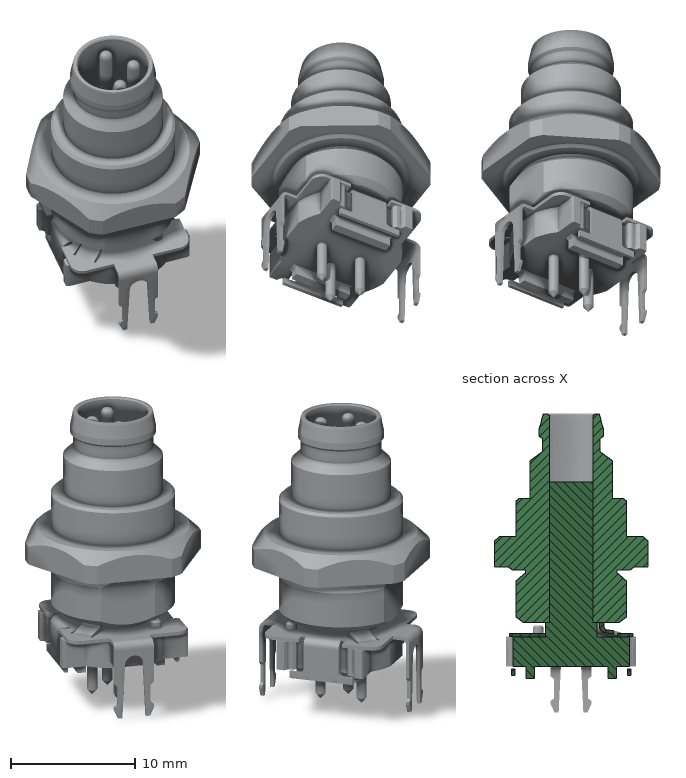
import cadquery as cq
import math


total_height = 24.15
housing_bottom = 7.4
plate_top = 6.55
sheet = 0.3
plate_bottom = plate_top - sheet
block_bottom = 3.86

cut_margin = 0.25
pick_margin = 0.02

bore_radius = 2.85
rim_chamfer = 0.1
rim_radius = 3.19
cone_top_radius = 3.24
cone_top = 24.0
collar_radius = 3.45
collar_top = 22.9
collar_bottom = 22.36
groove_radius = 3.24
groove_top = 22.17
groove_bottom = 21.13
nose_radius = 4.0
nose_top = 20.4
thread_radius = 5.0
thread_top = 17.36
thread_chamfer = 0.22
hex_across_flats = 13.0
hex_corner_radius = 7.2
hex_top = 14.35
hex_bottom = 11.83
hex_top_radius = 6.15
hex_chamfer_bottom = 13.38
washer_radius = 5.53
washer_bottom_radius = 5.26
washer_bottom = 11.62
neck_radius = 4.35
neck_bottom = 11.37
skirt_radius = thread_radius
skirt_top = 10.72
skirt_chamfer_top = 7.85
skirt_bottom_radius = 4.47
skirt_half_flats = 4.47

cavity_floor = 18.72
carrier_neck_radius = 3.07
block_radius = 4.93
block_half_x = 4.7
post_outer_x = 3.72
post_outer_y = 5.25
post_chamfer_x = 0.07
post_chamfer_y = 0.25
post_inner_x = 3.0
step_slope = 0.22
step_inner_x = 2.42
step_y = 4.88
bar_half_length = 2.49
bar_inner_y = 2.95
bar_outer_y = 3.65
bar_bottom = 2.87
bar_flare = 0.22
peg_x = 3.28
peg_y = 2.63
peg_radius = 0.43
peg_top = 7.15
peg_chamfer = 0.15
pin_pitch_radius = 1.75
pin_positions = [(-pin_pitch_radius, 0), (0, pin_pitch_radius), (pin_pitch_radius, 0)]
contact_radius = 0.5
contact_top = 23.76
contact_round = 0.43
tail_radius = 0.4
tail_tip = 0.48

plate_half = 5.0
plate_corner = 1.0
bend_inner = 0.31
bend_outer = bend_inner + sheet
bend_bottom = plate_top - bend_outer
tab_outer_x = 6.4
tab_half_width = 1.65
tab_waist_half = 1.35
tab_shoulder = 3.07
tab_waist_top = 2.8
tab_waist_bottom = 1.28
barb_top = 1.09
barb_bottom = 0.85
tab_tip = 0.15
tab_tip_half = 1.33
slot_half_top = 0.77
slot_half_bottom = 1.0
slot_arch_center = 4.64
panel_outer_y = 4.8
panel_half_width = 1.5
panel_bend_start = panel_outer_y - bend_outer
relief_width = 0.36
relief_inner_y = 4.03
foot_half_width = 2.7
foot_top = 3.67
foot_bottom = 3.12
foot_fillet = 0.36
flap_half_width = 0.82
window_half_width = 1.01
flap_hinge = 5.0
flap_relief = 5.22
flap_wall = 3.19
flap_bend_inner = 0.15
flap_bend_outer = flap_bend_inner + sheet
flap_bend_z = 6.85


def box(x0, x1, y0, y1, z0, z1):
    return cq.Workplane("XY").box(x1 - x0, y1 - y0, z1 - z0, centered=False).translate((x0, y0, z0))


def cylinder(radius, z0, z1):
    return cq.Workplane("XY").workplane(offset=z0).circle(radius).extrude(z1 - z0)


def turned(points):
    """Revolve (radius, z) points about the Z axis."""
    return cq.Workplane("XZ").polyline(points).close().revolve(360, (0, 0, 0), (0, 1, 0))


def half_turn(shape):
    return shape.rotate((0, 0, 0), (0, 0, 1), 180)


def box_around(start, end):
    """Selector for the edge that runs from start to end in a positive direction."""
    low = tuple(value - pick_margin for value in start)
    high = tuple(value + pick_margin for value in end)
    return cq.selectors.BoxSelector(low, high)


def hex_flange():
    corner_diameter = hex_across_flats / math.cos(math.pi / 6)
    prism = (
        cq.Workplane("XY")
        .workplane(offset=hex_bottom)
        .polygon(6, corner_diameter)
        .extrude(hex_top - hex_bottom)
        .rotate((0, 0, 0), (0, 0, 1), 30)
    )
    envelope = turned([
        (0, hex_bottom),
        (hex_corner_radius, hex_bottom),
        (hex_corner_radius, hex_chamfer_bottom),
        (hex_top_radius, hex_top),
        (0, hex_top),
    ])
    return prism.intersect(envelope)


def make_housing():
    barrel = turned([
        (bore_radius, housing_bottom),
        (skirt_bottom_radius, housing_bottom),
        (skirt_radius, skirt_chamfer_top),
        (skirt_radius, skirt_top),
        (neck_radius, neck_bottom),
        (neck_radius, washer_bottom),
        (washer_bottom_radius, washer_bottom),
        (washer_radius, hex_bottom),
        (thread_radius, hex_bottom),
        (thread_radius, thread_top - thread_chamfer),
        (thread_radius - thread_chamfer, thread_top),
        (nose_radius, thread_top),
        (nose_radius, nose_top),
        (groove_radius, groove_bottom),
        (groove_radius, groove_top),
        (collar_radius, collar_bottom),
        (collar_radius, collar_top),
        (cone_top_radius, cone_top),
        (rim_radius, total_height),
        (bore_radius + rim_chamfer, total_height),
        (bore_radius, total_height - rim_chamfer),
    ])
    flat_cutter = box(
        skirt_half_flats, skirt_radius + cut_margin, -skirt_radius, skirt_radius, housing_bottom, neck_bottom
    )
    barrel = barrel.cut(flat_cutter).cut(half_turn(flat_cutter))
    flange = hex_flange().cut(cylinder(bore_radius, hex_bottom, hex_top))
    return barrel.union(flange)


def front_recess():
    """Stepped recess between the -Y corner posts, deep enough to clear the panel bend."""
    beyond_y = -post_outer_y - cut_margin
    half_outline = [
        (post_inner_x, beyond_y),
        (post_inner_x, -post_outer_y),
        (post_inner_x - step_slope, -step_y),
        (step_inner_x, -step_y),
        (step_inner_x - step_slope, step_slope - step_y),
        (step_inner_x - step_slope, -panel_bend_start),
    ]
    mirrored = [(-x, y) for x, y in reversed(half_outline)]
    return (
        cq.Workplane("XY")
        .workplane(offset=block_bottom)
        .polyline(half_outline + mirrored)
        .close()
        .extrude(plate_bottom - block_bottom)
    )


def carrier_block():
    height = plate_bottom - block_bottom
    drum = cylinder(block_radius, block_bottom, plate_bottom)
    drum = drum.intersect(
        box(-block_half_x, block_half_x, -block_radius, block_radius, block_bottom, plate_bottom)
    )
    chamfer_x = post_outer_x - post_chamfer_x
    chamfer_y = post_outer_y - post_chamfer_y
    outline = []
    for side in (1, -1):
        outline += [
            (side * post_outer_x, -side * chamfer_y),
            (side * post_outer_x, side * chamfer_y),
            (side * chamfer_x, side * post_outer_y),
            (-side * chamfer_x, side * post_outer_y),
        ]
    posts = cq.Workplane("XY").workplane(offset=block_bottom).polyline(outline).close().extrude(height)
    recess = front_recess()
    return drum.union(posts).cut(recess).cut(half_turn(recess))


def standoff_bar():
    """Bar under the block on the -Y side, flared at both ends where it meets the block."""
    flare_z = block_bottom - bar_flare
    return (
        cq.Workplane("XZ")
        .workplane(offset=bar_inner_y)
        .polyline([
            (-bar_half_length, bar_bottom),
            (bar_half_length, bar_bottom),
            (bar_half_length, flare_z),
            (bar_half_length + bar_flare, block_bottom),
            (-bar_half_length - bar_flare, block_bottom),
            (-bar_half_length, flare_z),
        ])
        .close()
        .extrude(bar_outer_y - bar_inner_y)
    )


def peg():
    return (
        cylinder(peg_radius, plate_bottom, peg_top)
        .faces(">Z")
        .chamfer(peg_chamfer)
        .translate((-peg_x, -peg_y, 0))
    )


def contact_pin():
    tail = turned([(0, 0), (tail_radius, tail_tip), (tail_radius, block_bottom), (0, block_bottom)])
    contact = cylinder(contact_radius, cavity_floor, contact_top).faces(">Z").edges().fillet(contact_round)
    return tail, contact


def make_carrier():
    carrier = (
        cylinder(bore_radius, housing_bottom, cavity_floor)
        .union(cylinder(carrier_neck_radius, plate_bottom, housing_bottom))
        .union(carrier_block())
    )
    for feature in (standoff_bar(), peg()):
        carrier = carrier.union(feature).union(half_turn(feature))
    for x, y in pin_positions:
        for pin_part in contact_pin():
            carrier = carrier.union(pin_part.translate((x, y, 0)))
    return carrier


def bent_strip(plane, reach, bottom, half_width):
    """Strip that leaves the plate outwards along the plane's first axis and bends down."""
    start = plate_half / 2
    mid = math.sqrt(0.5)
    bend_x = reach - bend_outer
    return (
        cq.Workplane(plane)
        .moveTo(start, plate_top)
        .lineTo(bend_x, plate_top)
        .threePointArc((bend_x + bend_outer * mid, bend_bottom + bend_outer * mid), (reach, bend_bottom))
        .lineTo(reach, bottom)
        .lineTo(reach - sheet, bottom)
        .lineTo(reach - sheet, bend_bottom)
        .threePointArc((bend_x + bend_inner * mid, bend_bottom + bend_inner * mid), (bend_x, plate_bottom))
        .lineTo(start, plate_bottom)
        .close()
        .extrude(half_width, both=True)
    )


def latch_outline():
    """Side outline of the latch tab in (y, z), with its two barbed legs."""
    half = [
        (tab_half_width, plate_top),
        (tab_half_width, tab_shoulder),
        (tab_waist_half, tab_waist_top),
        (tab_waist_half, tab_waist_bottom),
        (tab_half_width, barb_top),
        (tab_half_width, barb_bottom),
        (tab_tip_half, tab_tip),
        (slot_half_bottom, tab_tip),
        (slot_half_top, slot_arch_center),
    ]
    left_leg = [(-y, z) for y, z in reversed(half)]
    return (
        cq.Workplane("YZ")
        .polyline(half)
        .threePointArc((0, slot_arch_center + slot_half_top), left_leg[0])
        .polyline(left_leg[1:], includeCurrent=True)
        .close()
        .extrude(tab_outer_x)
    )


def latch_tab():
    """Latch tab on the +X side."""
    return bent_strip("XZ", tab_outer_x, tab_tip, tab_half_width).intersect(latch_outline())


def ground_panel():
    """Panel on the +Y side: a bent strip with a wide foot."""
    strip = bent_strip("YZ", panel_outer_y, foot_bottom, panel_half_width)
    panel_inner_y = panel_outer_y - sheet
    foot = box(-foot_half_width, foot_half_width, panel_inner_y, panel_outer_y, foot_bottom, foot_top)
    panel = strip.union(foot)
    for side in (-1, 1):
        corner = box_around(
            (side * panel_half_width, panel_inner_y, foot_top),
            (side * panel_half_width, panel_outer_y, foot_top),
        )
        panel = panel.edges(corner).fillet(foot_fillet)
    return panel


def panel_clearance():
    """Reliefs beside the +Y panel, and the plate edge removed in front of its bend."""
    half_width = panel_half_width + relief_width
    opening = box(-half_width, half_width, relief_inner_y, plate_half, plate_bottom, plate_top)
    bridge = box(
        -panel_half_width, panel_half_width, relief_inner_y, panel_bend_start, plate_bottom, plate_top
    )
    return opening.cut(bridge)


def turn_to_diagonal(shape):
    """Turn a shape built along +X to the diagonal between +X and -Y."""
    return shape.rotate((0, 0, 0), (0, 0, 1), -45)


def flap_window():
    slot = box(0, flap_hinge, -window_half_width, window_half_width, plate_bottom, plate_top)
    for side in (-1, 1):
        y0, y1 = sorted((side * flap_half_width, side * window_half_width))
        slot = slot.union(box(0, flap_relief, y0, y1, plate_bottom, plate_top))
    return turn_to_diagonal(slot)


def spring_flap():
    """Sloping flap that rises from its hinge and bends up against the housing bottom."""
    wall_outer = flap_wall + sheet
    slope = (flap_bend_z - plate_top) / (flap_hinge - wall_outer)
    lower_corner_z = plate_bottom + slope * (flap_hinge - flap_wall)
    flap = (
        cq.Workplane("XZ")
        .polyline([
            (flap_hinge, plate_bottom),
            (flap_hinge, plate_top),
            (wall_outer, flap_bend_z),
            (wall_outer, housing_bottom),
            (flap_wall, housing_bottom),
            (flap_wall, lower_corner_z),
        ])
        .close()
        .extrude(flap_half_width, both=True)
    )
    bends = (
        (wall_outer, flap_bend_z, flap_bend_inner),
        (flap_wall, lower_corner_z, flap_bend_outer),
    )
    for x, z, radius in bends:
        corner = box_around((x, -flap_half_width, z), (x, flap_half_width, z))
        flap = flap.edges(corner).fillet(radius)
    return turn_to_diagonal(flap)


def make_shield():
    plate = box(-plate_half, plate_half, -plate_half, plate_half, plate_bottom, plate_top)
    shield = plate.edges("|Z").fillet(plate_corner)
    peg_hole = cylinder(peg_radius, plate_bottom, plate_top).translate((-peg_x, -peg_y, 0))
    for opening in (panel_clearance(), flap_window(), peg_hole):
        shield = shield.cut(opening).cut(half_turn(opening))
    for feature in (latch_tab(), ground_panel(), spring_flap()):
        shield = shield.union(feature).union(half_turn(feature))
    return shield.cut(cylinder(carrier_neck_radius, plate_bottom, plate_top))


housing = make_housing()
carrier = make_carrier()
shield = make_shield()

result = cq.Compound.makeCompound([body.solids().val() for body in (housing, carrier, shield)])